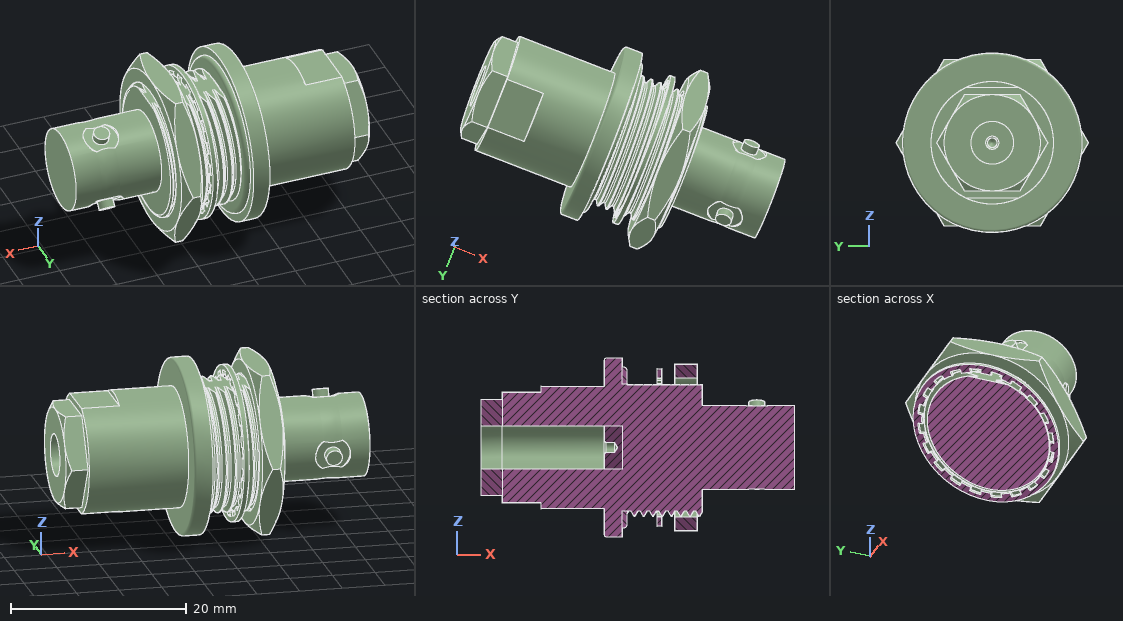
import cadquery as cq
import math


total_length = 35.81
housing_start = 2.4
wrench_flat_end = 6.85
flange_start = 14.05
flange_end = 16.15
gasket_end = 16.72
thread_end = 25.3
washer_start = 20.08
lock_nut_start = 22.13
lug_station = 31.5

barrel_radius = 7.0
wrench_flat_width = 12.65
flange_radius = 10.26
flange_edge_fillet = 0.3
mating_radius = 4.825

thread_pitch = 25.4 / 24
thread_crest_radius = 7.87
thread_root_radius = 7.27
thread_crest_width = 0.13
thread_half_angle = 30
thread_root_overlap = 0.1
thread_envelope_radius = 7.97
thread_end_chamfer = 0.4
thread_lead_in = 15.40
thread_turns = 10
thread_flat_height = 7.18

lug_count = 3
lug_radius = 0.93
lug_tip_radius = 5.47
lug_first_angle = 20
lug_seat_radius = 2.05
lug_seat_height = 4.5
groove_width = 2.26
groove_depth = 0.07

gland_across_flats = 11.0
cable_bore_radius = 2.44

contact_hole_radius = 0.55
contact_hole_countersink = 0.2
contact_hole_depth = 1.2
drill_point_half_angle = 59

gasket_radius = 9.25
gasket_edge_fillet = 0.5

washer_thickness = 0.59
washer_radius = 9.03
washer_bore_radius = 7.9
washer_gap_radius = 8.4
washer_tooth_count = 20
washer_tooth_pitch = 360 / washer_tooth_count
washer_gap_angle = washer_tooth_pitch / 2

lock_nut_thickness = 2.6
lock_nut_across_corners = 22.0
lock_nut_across_flats = lock_nut_across_corners * math.cos(math.radians(30))
lock_nut_bore_radius = 7.9

hex_chamfer_angle = 30


def cylinder(start, end, radius):
    """Round bar about the X axis."""
    return cq.Workplane("YZ", origin=(start, 0, 0)).circle(radius).extrude(end - start)


def ring(start, end, outer_radius, inner_radius):
    """Plain ring about the X axis."""
    return cylinder(start, end, outer_radius).cut(cylinder(start, end, inner_radius))


def revolve_profile(profile):
    """Turn a closed XY profile about the X axis."""
    return profile.close().revolve(360, (0, 0, 0), (1, 0, 0))


def hexagon(start, length, across_flats, chamfer_far_end):
    """Hexagon bar with flats facing +Z and -Z and its corners chamfered at one or both ends."""
    across_corners = across_flats / math.cos(math.radians(30))
    end_radius = across_flats / 2
    chamfer_length = (across_corners / 2 - end_radius) * math.tan(math.radians(hex_chamfer_angle))
    end = start + length
    bar = cq.Workplane("YZ", origin=(start, 0, 0)).polygon(6, across_corners).extrude(length)
    envelope = cq.Workplane("XY").moveTo(start, 0).lineTo(start, end_radius)
    envelope = envelope.lineTo(start + chamfer_length, across_corners / 2)
    if chamfer_far_end:
        envelope = envelope.lineTo(end - chamfer_length, across_corners / 2).lineTo(end, end_radius)
    else:
        envelope = envelope.lineTo(end, across_corners / 2)
    return bar.intersect(revolve_profile(envelope.lineTo(end, 0)))


def thread_ridge():
    """Right-handed helical ridge, trimmed to the threaded length."""
    crest_half_width = thread_crest_width / 2
    base_radius = thread_root_radius - thread_root_overlap
    base_half_width = crest_half_width + (thread_crest_radius - base_radius) * math.tan(
        math.radians(thread_half_angle))
    helix = cq.Wire.makeHelix(thread_pitch, thread_pitch * thread_turns, base_radius)
    ridge = (
        cq.Workplane("XZ")
        .moveTo(base_radius, -base_half_width)
        .lineTo(thread_crest_radius, -crest_half_width)
        .lineTo(thread_crest_radius, crest_half_width)
        .lineTo(base_radius, base_half_width)
        .close()
        .sweep(cq.Workplane(helix), isFrenet=True)
        .rotate((0, 0, 0), (0, 1, 0), 90)
        .translate((thread_lead_in, 0, 0))
    )
    envelope = cylinder(gasket_end, thread_end, thread_envelope_radius)
    return ridge.intersect(envelope.faces(">X").chamfer(thread_end_chamfer))


def thread_flat_cutter():
    """Block that leaves a flat along the top of the thread."""
    length = thread_end - gasket_end
    block = cq.Workplane("XY").box(
        length, 2 * thread_crest_radius, thread_crest_radius, centered=(False, True, False))
    return block.translate((gasket_end, 0, thread_flat_height))


def wrench_flat_cutters():
    """Blocks that leave two flats, facing +Z and -Z, on the cable end of the barrel."""
    length = wrench_flat_end - housing_start
    block = cq.Workplane("XY").box(length, 2 * barrel_radius, barrel_radius, centered=(False, True, False))
    upper = block.translate((housing_start, 0, wrench_flat_width / 2))
    return upper.union(upper.mirror("XY"))


def lug_groove():
    """Shallow round-bottomed groove around the mating end."""
    half_width = groove_width / 2
    outside = mating_radius + groove_depth
    profile = (
        cq.Workplane("XY")
        .moveTo(lug_station - half_width, outside)
        .lineTo(lug_station - half_width, mating_radius)
        .threePointArc((lug_station, mating_radius - groove_depth), (lug_station + half_width, mating_radius))
        .lineTo(lug_station + half_width, outside)
    )
    return revolve_profile(profile)


def radial_cylinder(radius, inner, outer, angle):
    """Round bar pointing away from the axis at the lug station; the angle turns from +Z towards +Y."""
    bar = cq.Workplane("XY", origin=(lug_station, 0, inner)).circle(radius).extrude(outer - inner)
    return bar.rotate((0, 0, 0), (1, 0, 0), -angle)


def make_housing():
    flange = cylinder(flange_start, flange_end, flange_radius).faces("<X").edges().fillet(flange_edge_fillet)
    core = cylinder(flange_end, thread_end, thread_root_radius)
    body = cylinder(housing_start, flange_start, barrel_radius).union(flange).union(core).union(thread_ridge())
    body = body.cut(thread_flat_cutter()).cut(wrench_flat_cutters())
    body = body.union(cylinder(thread_end, total_length, mating_radius)).cut(lug_groove())
    for index in range(lug_count):
        angle = lug_first_angle + index * 360 / lug_count
        body = body.cut(radial_cylinder(lug_seat_radius, lug_seat_height, lug_tip_radius, angle))
        body = body.union(radial_cylinder(lug_radius, 0, lug_tip_radius, angle))
    return body.cut(cylinder(housing_start, flange_end, cable_bore_radius))


def make_gland_nut():
    head = hexagon(0, housing_start, gland_across_flats, False)
    return head.cut(cylinder(0, housing_start, cable_bore_radius))


def make_contact_holder():
    """Plug with a countersunk blind hole that ends in a drill point."""
    hole_end = flange_start + contact_hole_depth
    point_length = contact_hole_radius / math.tan(math.radians(drill_point_half_angle))
    hole = (
        cq.Workplane("XY")
        .moveTo(flange_start, 0)
        .lineTo(flange_start, contact_hole_radius + contact_hole_countersink)
        .lineTo(flange_start + contact_hole_countersink, contact_hole_radius)
        .lineTo(hole_end, contact_hole_radius)
        .lineTo(hole_end + point_length, 0)
    )
    return cylinder(flange_start, flange_end, cable_bore_radius).cut(revolve_profile(hole))


def make_gasket():
    gasket_disc = cylinder(flange_end, gasket_end, gasket_radius)
    gasket_disc = gasket_disc.faces(">X").edges().fillet(gasket_edge_fillet)
    return gasket_disc.cut(cylinder(flange_end, gasket_end, thread_root_radius))


def make_lock_washer():
    """Flat washer with teeth left standing between gaps around its bore, one tooth centred on +Y."""
    washer_end = washer_start + washer_thickness
    washer = ring(washer_start, washer_end, washer_radius, washer_bore_radius)
    gap_ring = ring(washer_start, washer_end, washer_gap_radius, washer_bore_radius)
    half_angle = math.radians(washer_gap_angle / 2)
    wedge_half_width = washer_radius * math.tan(half_angle)
    wedge = (
        cq.Workplane("YZ", origin=(washer_start, 0, 0))
        .polyline([(0, 0), (washer_radius, -wedge_half_width), (washer_radius, wedge_half_width)])
        .close()
        .extrude(washer_thickness)
    )
    gap = gap_ring.intersect(wedge)
    for index in range(washer_tooth_count):
        angle = (index + 0.5) * washer_tooth_pitch
        washer = washer.cut(gap.rotate((0, 0, 0), (1, 0, 0), angle))
    return washer


def make_lock_nut():
    nut = hexagon(lock_nut_start, lock_nut_thickness, lock_nut_across_flats, True)
    return nut.cut(cylinder(lock_nut_start, lock_nut_start + lock_nut_thickness, lock_nut_bore_radius))


housing = make_housing()
gland_nut = make_gland_nut()
contact_holder = make_contact_holder()
gasket = make_gasket()
lock_washer = make_lock_washer()
lock_nut = make_lock_nut()

result = cq.Compound.makeCompound([
    housing.val(),
    gland_nut.val(),
    contact_holder.val(),
    gasket.val(),
    lock_washer.val(),
    lock_nut.val(),
])